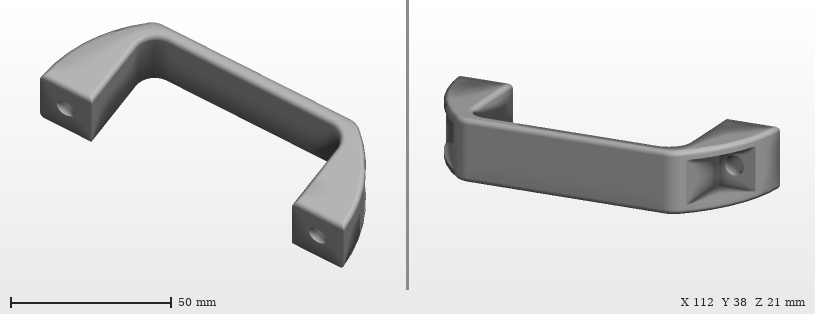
import cadquery as cq
import math

length = 112.0
depth = 38.0
height = 21.0

leg_width = 18.9
bar_thickness = 5.2
inner_radius = 7.0
flank_radius = 50.4
flank_center_y = -1.6
shoulder_radius = 7.0
edge_radius = 1.7

hole_diameter = 6.6
hole_spacing = 93.2
recess_floor = 13.1
recess_height = 15.0
recess_wall_x = 40.5
recess_fillet = 1.1

half_length = length / 2
inner_x = half_length - leg_width
inner_y = depth - bar_thickness

flank_center_x = half_length - math.sqrt(flank_radius**2 - flank_center_y**2)
shoulder_center_y = depth - shoulder_radius
shoulder_rise = shoulder_center_y - flank_center_y
center_distance = flank_radius - shoulder_radius
shoulder_center_x = flank_center_x + math.sqrt(center_distance**2 - shoulder_rise**2)
foot_angle = math.asin(-flank_center_y / flank_radius)
blend_angle = math.atan2(shoulder_rise, shoulder_center_x - flank_center_x)


def arc_point(center_x, center_y, radius, angle):
    return (center_x + radius * math.cos(angle), center_y + radius * math.sin(angle))


def mirrored(point):
    return (-point[0], point[1])


def is_outer_edge(edge):
    """True for edges of the back of the bar, the shoulders and the flanks."""
    middle = edge.positionAt(0.5)
    on_back = middle.y > inner_y
    center_offset = math.hypot(abs(middle.x) - flank_center_x, middle.y - flank_center_y)
    on_flank = center_offset > flank_radius - edge_radius
    return on_back or on_flank


def handle_body():
    """Arched grip with rounded edges, sharp at the opening and feet on the lower face."""
    flank_middle = arc_point(flank_center_x, flank_center_y, flank_radius, (foot_angle + blend_angle) / 2)
    blend = arc_point(flank_center_x, flank_center_y, flank_radius, blend_angle)
    shoulder_angle = (blend_angle + math.pi / 2) / 2
    shoulder_middle = arc_point(shoulder_center_x, shoulder_center_y, shoulder_radius, shoulder_angle)
    outer = (
        cq.Workplane("XY")
        .moveTo(-half_length, 0)
        .lineTo(half_length, 0)
        .threePointArc(flank_middle, blend)
        .threePointArc(shoulder_middle, (shoulder_center_x, depth))
        .lineTo(-shoulder_center_x, depth)
        .threePointArc(mirrored(shoulder_middle), mirrored(blend))
        .threePointArc(mirrored(flank_middle), (-half_length, 0))
        .close()
        .extrude(height)
    )
    opening = (
        cq.Workplane("XY")
        .rect(2 * inner_x, 2 * inner_y)
        .extrude(height)
        .edges("|Z and >Y")
        .fillet(inner_radius)
    )
    body = outer.cut(opening)
    body = body.faces(">Z").edges().fillet(edge_radius)
    return body.faces("<Z").edges().filter(is_outer_edge).fillet(edge_radius)


def screw_hole(side):
    return (
        cq.Workplane("XZ")
        .center(side * hole_spacing / 2, height / 2)
        .circle(hole_diameter / 2)
        .extrude(-depth)
    )


def screw_recess(side):
    """Pocket open to the flank, with a rounded corner between its floor and back wall."""
    inner_edge = "<X" if side > 0 else ">X"
    width = half_length - recess_wall_x
    return (
        cq.Workplane("XY")
        .box(width, depth - recess_floor, recess_height)
        .faces("<Y")
        .edges(inner_edge)
        .fillet(recess_fillet)
        .translate((side * (recess_wall_x + width / 2), (depth + recess_floor) / 2, height / 2))
    )


result = handle_body()
for side in (-1, 1):
    result = result.cut(screw_hole(side)).cut(screw_recess(side))